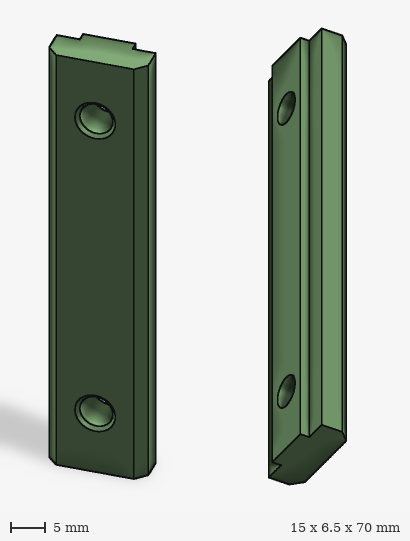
import cadquery as cq

width = 15.0
thickness = 6.5
length = 70.0

tongue_width = 8.0
tongue_height = 1.5

bevel = 1.6

hole_diameter = 5.0
rim_diameter = 6.1
hole_end_distance = 10.0

front_y = -thickness / 2
back_y = thickness / 2


def make_bar():
    """Extrude the T-shaped, bevelled section along Z, centred on the origin."""
    half_width = width / 2
    half_tongue = tongue_width / 2
    shoulder_y = back_y - tongue_height
    section = [
        (-half_width + bevel, front_y),
        (half_width - bevel, front_y),
        (half_width, front_y + bevel),
        (half_width, shoulder_y),
        (half_tongue, shoulder_y),
        (half_tongue, back_y),
        (-half_tongue, back_y),
        (-half_tongue, shoulder_y),
        (-half_width, shoulder_y),
        (-half_width, front_y + bevel),
    ]
    return cq.Workplane("XY").polyline(section).close().extrude(length / 2, both=True)


def make_hole_cutter(z):
    """Through hole along Y with a 45 degree countersink at the front face."""
    hole_radius = hole_diameter / 2
    rim_radius = rim_diameter / 2
    rim_depth = rim_radius - hole_radius
    start = cq.Vector(0, front_y, z)
    inward = cq.Vector(0, 1, 0)
    bore = cq.Solid.makeCylinder(hole_radius, thickness, start, inward)
    rim = cq.Solid.makeCone(rim_radius, hole_radius, rim_depth, start, inward)
    return cq.Workplane(obj=bore).union(cq.Workplane(obj=rim))


result = make_bar()
hole_z = length / 2 - hole_end_distance
for z in (-hole_z, hole_z):
    result = result.cut(make_hole_cutter(z))